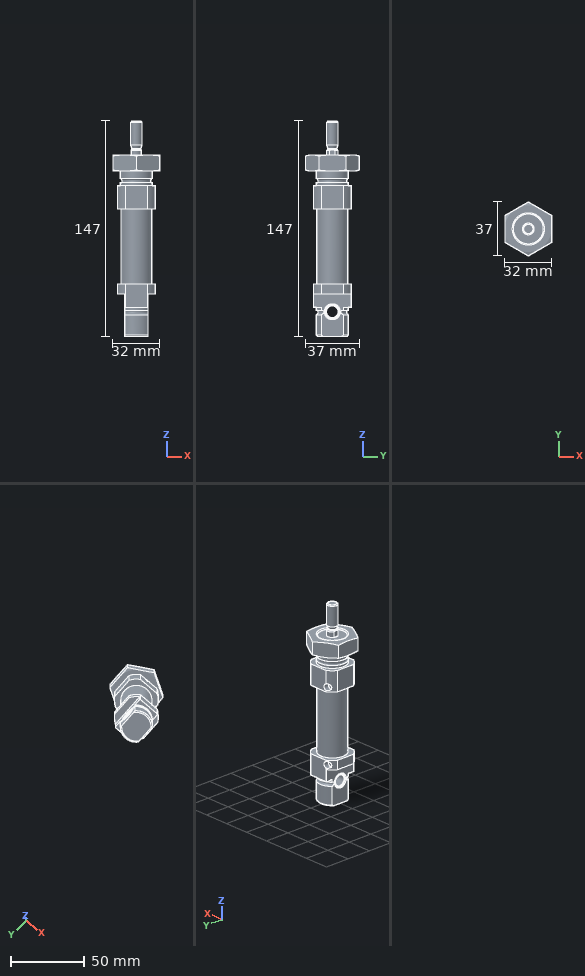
import cadquery as cq
import math


pivot_z = 17.0
wing_bottom_z = 20.0
rear_head_z = 29.0
rear_head_top_z = 36.0
front_head_z = 87.0
front_head_top_z = 103.0
thread_length = 20.0
housing_top_z = front_head_top_z + thread_length
rod_top_z = 147.0

barrel_dia = 21.3
thread_dia = 22.0
thread_core_dia = 20.38
relief_dia = 19.7
relief_flank_angle = 45.0
head_dia = 30.0
head_width = 26.0
clevis_width = 16.0
clevis_chamfer = 1.0
clevis_relief_top_z = 18.0
clevis_relief_width = 3.1
clevis_relief_radius = 1.0
thread_relief_z = 105.1
thread_relief_width = 3.0
thread_relief_radius = 0.6

pivot_dia = 8.0
pivot_recess_dia = 9.7
pivot_recess_depth = 0.6

port_dia = 5.0
port_x = -8.2
port_depth = 4.0
rear_port_z = (rear_head_z + rear_head_top_z) / 2
front_port_z = front_head_z + (rear_head_top_z - rear_head_z) / 2

nut_width = 32.0
nut_height = 11.0
nut_recess = 1.0
nut_top_z = housing_top_z + nut_recess
nut_bottom_z = nut_top_z - nut_height
nut_face_dia = 31.8
nut_bevel_angle = 15.0

rod_dia = 8.0
rod_core_dia = 6.4
rod_flat_width = 7.0
rod_thread_z = 130.85
rod_relief_top_z = 128.5
rod_shoulder_z = 127.0
rod_bottom_z = front_head_z


def cylinder(dia, bottom_z, top_z):
    return cq.Workplane("XY", origin=(0, 0, bottom_z)).circle(dia / 2).extrude(top_z - bottom_z)


def block(x_size, y_size, bottom_z, top_z):
    plane = cq.Workplane("XY", origin=(0, 0, bottom_z))
    return plane.rect(x_size, y_size).extrude(top_z - bottom_z)


def revolve_profile(radius_height_points):
    return cq.Workplane("XZ").polyline(radius_height_points).close().revolve(360, (0, 0), (0, 1))


def rounded_square(bottom_z, top_z):
    """Cylinder head: a round bar with four flats."""
    bar = cylinder(head_dia, bottom_z, top_z)
    return bar.intersect(block(head_width, head_width, bottom_z, top_z))


def relief_groove(step_z, width, radius, side):
    """Ring cut: a square step at step_z, a neck and a sloping flank, both neck corners rounded.

    side is +1 when the flank lies above the step and -1 when it lies below.
    """
    outer = thread_dia / 2
    neck = relief_dia / 2
    flank_angle = math.radians(relief_flank_angle)
    arc_x = neck + radius
    flank_root = width - (outer - neck) / math.tan(flank_angle)
    flank_arc_height = flank_root - radius * math.tan(flank_angle / 2)

    def point(x, height):
        return (x, step_z + side * height)

    def on_arc(arc_height, angle):
        return point(arc_x - radius * math.cos(angle), arc_height + radius * math.sin(angle))

    return (
        cq.Workplane("XZ")
        .moveTo(*point(outer, 0))
        .lineTo(*point(arc_x, 0))
        .threePointArc(on_arc(radius, -math.radians(45)), on_arc(radius, 0))
        .lineTo(*on_arc(flank_arc_height, 0))
        .threePointArc(on_arc(flank_arc_height, flank_angle / 2), on_arc(flank_arc_height, flank_angle))
        .lineTo(*point(outer, width))
        .close()
        .revolve(360, (0, 0), (0, 1))
    )


def clevis_stub():
    """Round stub with a chamfered foot and a relief groove."""
    stub = cylinder(thread_dia, 0, rear_head_z).faces("<Z").chamfer(clevis_chamfer)
    return stub.cut(relief_groove(clevis_relief_top_z, clevis_relief_width, clevis_relief_radius, -1))


def rear_end():
    """Clevis, the wide wings above it and the rear head."""
    wings = rounded_square(wing_bottom_z, rear_head_z)
    clevis = clevis_stub().union(wings).intersect(block(clevis_width, head_width, 0, rear_head_z))
    return clevis.union(rounded_square(rear_head_z, rear_head_top_z))


def front_thread():
    """Threaded neck with its relief groove and the thinner stub inside the nut."""
    neck = cylinder(thread_dia, front_head_top_z, nut_bottom_z)
    neck = neck.cut(relief_groove(thread_relief_z, thread_relief_width, thread_relief_radius, 1))
    return neck.union(cylinder(thread_core_dia, nut_bottom_z, housing_top_z))


def pivot_hole():
    """Cross hole along X with a shallow tapered recess on each side of the clevis."""
    half = clevis_width / 2
    recess = pivot_recess_dia / 2
    mouth = recess + pivot_recess_depth
    floor = half - pivot_recess_depth
    hole = cq.Workplane("YZ", origin=(-half, 0, pivot_z)).circle(pivot_dia / 2).extrude(clevis_width)
    for side in (-1, 1):
        taper = (
            cq.Workplane("YZ", origin=(side * floor, 0, pivot_z))
            .circle(recess)
            .workplane(offset=side * pivot_recess_depth)
            .circle(mouth)
            .loft()
        )
        hole = hole.union(taper)
    return hole


def side_port(z):
    """Blind hole sunk into the +Y flat of a head, breaking out through its rounded corner."""
    face = cq.Workplane("XZ", origin=(port_x, head_width / 2, z))
    return face.circle(port_dia / 2).extrude(port_depth)


def make_housing():
    """One body from the clevis to the threaded neck, with a blind bore for the rod."""
    housing = rear_end()
    housing = housing.union(cylinder(barrel_dia, rear_head_top_z, front_head_z))
    housing = housing.union(rounded_square(front_head_z, front_head_top_z))
    housing = housing.union(front_thread())
    housing = housing.cut(pivot_hole())
    for z in (rear_port_z, front_port_z):
        housing = housing.cut(side_port(z))
    return housing.cut(cylinder(rod_dia, rod_bottom_z, housing_top_z))


def make_nut():
    """Hexagon nut with bevelled corners and a countersunk mouth on top."""
    corner_dia = nut_width / math.cos(math.radians(30))
    corner = corner_dia / 2
    face = nut_face_dia / 2
    drop = (corner - face) * math.tan(math.radians(nut_bevel_angle))
    hexagon = (
        cq.Workplane("XY", origin=(0, 0, nut_bottom_z))
        .transformed(rotate=(0, 0, 30))
        .polygon(6, corner_dia)
        .extrude(nut_height)
    )
    bevels = revolve_profile(
        [
            (0, nut_bottom_z),
            (face, nut_bottom_z),
            (corner, nut_bottom_z + drop),
            (corner, nut_top_z - drop),
            (face, nut_top_z),
            (0, nut_top_z),
        ]
    )
    countersink = (thread_dia - thread_core_dia) / 2
    bore = cylinder(thread_core_dia, nut_bottom_z, nut_top_z)
    mouth_floor = cq.Vector(0, 0, nut_top_z - countersink)
    mouth = cq.Workplane(cq.Solid.makeCone(thread_core_dia / 2, thread_dia / 2, countersink, mouth_floor))
    return hexagon.intersect(bevels).cut(bore).cut(mouth)


def make_rod():
    """Rod with a threaded tip, a relief neck and two wrench flats above the housing."""
    outer = rod_dia / 2
    core = rod_core_dia / 2
    step = outer - core
    rod = revolve_profile(
        [
            (0, rod_bottom_z),
            (outer, rod_bottom_z),
            (outer, rod_shoulder_z),
            (core, rod_shoulder_z + step),
            (core, rod_relief_top_z),
            (outer, rod_thread_z),
            (outer, rod_top_z - step),
            (core, rod_top_z),
            (0, rod_top_z),
        ]
    )
    sleeve = cylinder(rod_dia, housing_top_z, rod_shoulder_z + step)
    waste = sleeve.cut(block(rod_flat_width, rod_dia, housing_top_z, rod_shoulder_z + step))
    return rod.cut(waste)


housing = make_housing()
nut = make_nut()
rod = make_rod()

result = cq.Compound.makeCompound([housing.val(), nut.val(), rod.val()])